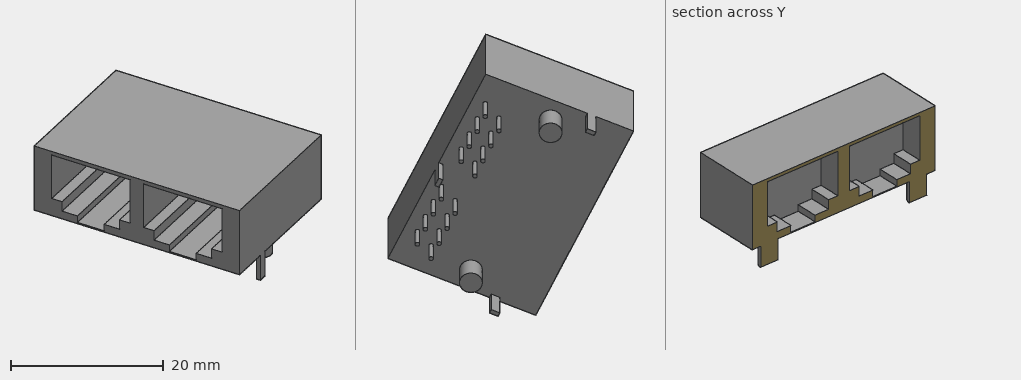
import cadquery as cq

body_width = 31.12
body_depth = 21.25
body_height = 10.0
overall_height = 13.85

port_offset = 6.97
port_depth = 14.0
port_top = body_height - 0.55
port_width = 11.85
shoulder_z = 2.68
latch_width = 8.7
latch_z = 1.2
groove_width = 4.05
groove_z = 0.22

post_diameter = 3.0
post_offset = 12.67
pin_diameter = 0.6
leg_length = 3.25
pins_per_port = 8
pin_pitch = 1.27
pin_row_spacing = 2 * pin_pitch
rear_row_y = body_depth / 2 - 1.8

tab_thickness = 0.6
tab_width = 1.25
tab_length = overall_height - body_height
side_tab_y = 6.05 - body_depth / 2


def port_cavity(center_x):
    """Blind jack opening whose floor steps down symmetrically to a groove."""
    right_side = [
        (port_width / 2, port_top),
        (port_width / 2, shoulder_z),
        (latch_width / 2, shoulder_z),
        (latch_width / 2, latch_z),
        (groove_width / 2, latch_z),
        (groove_width / 2, groove_z),
    ]
    left_side = [(-x, z) for x, z in reversed(right_side)]
    front_plane = cq.Workplane("XZ", origin=(center_x, -body_depth / 2, 0))
    return front_plane.polyline(right_side + left_side).close().extrude(-port_depth)


def round_legs(points, diameter):
    """Cylinders hanging from the underside at the given XY points."""
    return cq.Workplane("XY").pushPoints(points).circle(diameter / 2).extrude(-leg_length)


def tab(x, y, size_x, size_y):
    """Flat tab hanging from the underside, centred on (x, y)."""
    return cq.Workplane("XY").center(x, y).rect(size_x, size_y).extrude(-tab_length)


def pin_points(center_x):
    """Contact positions staggered between the rear and the forward row."""
    first_x = center_x - (pins_per_port - 1) / 2 * pin_pitch
    return [
        (first_x + i * pin_pitch, rear_row_y - (i % 2) * pin_row_spacing)
        for i in range(pins_per_port)
    ]


result = cq.Workplane("XY").box(body_width, body_depth, body_height, centered=(True, True, False))

for side in (-1, 1):
    port_x = side * port_offset
    side_tab_x = side * (body_width - tab_thickness) / 2
    result = result.cut(port_cavity(port_x))
    result = result.union(round_legs(pin_points(port_x), pin_diameter))
    result = result.union(round_legs([(side * post_offset, 0)], post_diameter))
    result = result.union(tab(side_tab_x, side_tab_y, tab_thickness, tab_width))

rear_tab_y = (body_depth - tab_thickness) / 2
result = result.union(tab(0, rear_tab_y, tab_width, tab_thickness))